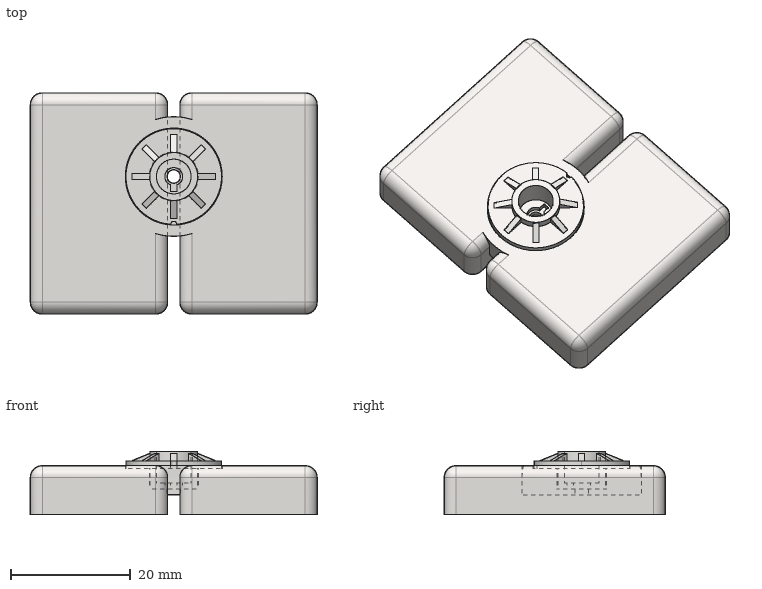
import cadquery as cq

BASE_LENGTH = 48.0
BASE_DEPTH = 37.0
BASE_HEIGHT = 8.2
BLOCK_GAP = 2.0
BLOCK_WIDTH = (BASE_LENGTH - BLOCK_GAP) / 2
BLOCK_ROUND = 2.0
HUB_DIAMETER = 20.0
HUB_BOTTOM = 3.3
HUB_Y = 4.5
BASE_HOLE_DIAMETER = 2.2

OVERALL_HEIGHT = 10.6
FLANGE_DIAMETER = 16.0
FLANGE_TOP = 9.0
SLEEVE_DIAMETER = 8.0
BORE_DIAMETER = 5.8
KNOB_FLOOR_THICKNESS = 1.0
NOTCH_DIAMETER = 1.0
KEYHOLE_DIAMETER = 3.0
KEYWAY_WIDTH = 1.0
KEYWAY_REACH = 2.5
RIB_COUNT = 8
RIB_WIDTH = 1.0
RIB_REACH = 7.0
RIB_DROP = 0.35
RIB_TOP = OVERALL_HEIGHT - RIB_DROP

RECESS_DIAMETER = 16.2
RECESS_DEPTH = 0.5
RECESS_FLOOR = BASE_HEIGHT - RECESS_DEPTH
SOCKET_DIAMETER = 8.2
BASE_FLOOR_THICKNESS = 1.0
SOCKET_FLOOR = HUB_BOTTOM + BASE_FLOOR_THICKNESS


def cylinder(diameter, bottom, top):
    """Upright cylinder on the hub axis."""
    return cq.Workplane("XY", origin=(0, HUB_Y, bottom)).circle(diameter / 2).extrude(top - bottom)


def make_block(side):
    """One block, rounded on its upright and top edges; side is -1 or +1 along X."""
    block = cq.Workplane("XY").box(BLOCK_WIDTH, BASE_DEPTH, BASE_HEIGHT, centered=(True, True, False))
    block = block.edges("|Z or >Z").fillet(BLOCK_ROUND)
    return block.translate((side * (BLOCK_WIDTH + BLOCK_GAP) / 2, 0, 0))


def make_base():
    """Two blocks and their hub, with a stepped seat for the knob."""
    base = make_block(-1).union(make_block(1))
    base = base.union(cylinder(HUB_DIAMETER, HUB_BOTTOM, BASE_HEIGHT))
    base = base.cut(cylinder(RECESS_DIAMETER, RECESS_FLOOR, BASE_HEIGHT))
    base = base.cut(cylinder(SOCKET_DIAMETER, SOCKET_FLOOR, BASE_HEIGHT))
    return base.cut(cylinder(BASE_HOLE_DIAMETER, HUB_BOTTOM, BASE_HEIGHT))


def make_rib(angle):
    """Triangular rib from the sleeve wall down to the flange, turned about the hub axis."""
    root = (SLEEVE_DIAMETER + BORE_DIAMETER) / 4
    rib = (
        cq.Workplane("XZ")
        .moveTo(root, FLANGE_TOP)
        .lineTo(RIB_REACH, FLANGE_TOP)
        .lineTo(SLEEVE_DIAMETER / 2, RIB_TOP)
        .lineTo(root, RIB_TOP)
        .close()
        .extrude(RIB_WIDTH / 2, both=True)
    )
    return rib.rotate((0, 0, 0), (0, 0, 1), angle).translate((0, HUB_Y, 0))


def make_keyhole():
    """Cutter for the round hole and its keyway in the knob floor."""
    knob_floor_top = SOCKET_FLOOR + KNOB_FLOOR_THICKNESS
    keyway = cq.Workplane("XY", origin=(0, HUB_Y - KEYWAY_REACH / 2, SOCKET_FLOOR)).box(
        KEYWAY_WIDTH, KEYWAY_REACH, KNOB_FLOOR_THICKNESS, centered=(True, True, False)
    )
    return cylinder(KEYHOLE_DIAMETER, SOCKET_FLOOR, knob_floor_top).union(keyway)


def make_knob():
    """Sleeve with a closed lower end, flange, ribs and a notch in the flange rim."""
    knob = cylinder(SLEEVE_DIAMETER, SOCKET_FLOOR, OVERALL_HEIGHT)
    knob = knob.union(cylinder(FLANGE_DIAMETER, RECESS_FLOOR, FLANGE_TOP))
    for index in range(RIB_COUNT):
        knob = knob.union(make_rib(index * 360 / RIB_COUNT))
    knob = knob.cut(cylinder(BORE_DIAMETER, SOCKET_FLOOR + KNOB_FLOOR_THICKNESS, OVERALL_HEIGHT))
    knob = knob.cut(make_keyhole())
    notch = cylinder(NOTCH_DIAMETER, RECESS_FLOOR, FLANGE_TOP).translate((0, -FLANGE_DIAMETER / 2, 0))
    return knob.cut(notch)


base = make_base()
knob = make_knob()
result = cq.Compound.makeCompound([base.val(), knob.val()])